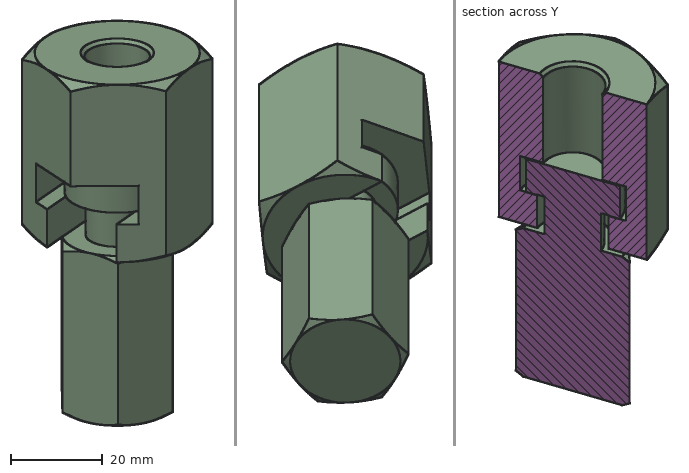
import cadquery as cq
import math

TOTAL_HEIGHT = 83.2
HALF_SIDE_ANGLE = math.radians(30)
BEVEL_ANGLE = math.radians(30)
CONE_OVERRUN = 0.8

SOCKET_ACROSS_CORNERS = 41.6
SOCKET_HEIGHT = 42.0
SOCKET_BOTTOM = TOTAL_HEIGHT - SOCKET_HEIGHT
BORE_DIAMETER = 14.3
BORE_CHAMFER = 0.8

HEAD_SLOT_WIDTH = 25.6
HEAD_SLOT_HEIGHT = 9.1
NECK_SLOT_WIDTH = 17.3
NECK_SLOT_HEIGHT = 9.0
HEAD_SLOT_BOTTOM = SOCKET_BOTTOM + NECK_SLOT_HEIGHT

STUD_ACROSS_FLATS = 24.05
STUD_ACROSS_CORNERS = STUD_ACROSS_FLATS / math.cos(HALF_SIDE_ANGLE)
STUD_HEX_HEIGHT = 40.2
NECK_DIAMETER = 13.8
HEAD_DIAMETER = 23.0
HEAD_TOP_CLEARANCE = 0.2
HEAD_HEIGHT = HEAD_SLOT_HEIGHT - HEAD_TOP_CLEARANCE


def beveled_hexagon(across_corners, height, bottom, turn):
    """Hexagonal bar, with both ends turned to a cone that leaves a circle touching the flats."""
    corner_radius = across_corners / 2
    flat_radius = corner_radius * math.cos(HALF_SIDE_ANGLE)
    bevel_drop = (corner_radius - flat_radius) * math.tan(BEVEL_ANGLE)
    top = bottom + height

    bar = (
        cq.Workplane("XY")
        .polygon(6, across_corners)
        .extrude(height)
        .rotate((0, 0, 0), (0, 0, 1), turn)
        .translate((0, 0, bottom))
    )

    outer_radius = corner_radius + CONE_OVERRUN
    outer_drop = bevel_drop + CONE_OVERRUN * math.tan(BEVEL_ANGLE)
    turned_envelope = (
        cq.Workplane("XZ")
        .moveTo(0, bottom)
        .lineTo(flat_radius, bottom)
        .lineTo(outer_radius, bottom + outer_drop)
        .lineTo(outer_radius, top - outer_drop)
        .lineTo(flat_radius, top)
        .lineTo(0, top)
        .close()
        .revolve(360, (0, 0, 0), (0, 1, 0))
    )
    return bar.intersect(turned_envelope)


def open_slot(width, height, bottom):
    """Slot volume reaching from a round end about the axis out through the -Y side."""
    length = SOCKET_ACROSS_CORNERS
    floor = cq.Workplane("XY").workplane(offset=bottom)
    round_end = floor.circle(width / 2).extrude(height)
    straight = floor.center(0, -length / 2).rect(width, length).extrude(height)
    return round_end.union(straight)


def cylinder(diameter, bottom, top):
    return cq.Workplane("XY").workplane(offset=bottom).circle(diameter / 2).extrude(top - bottom)


def make_socket():
    body = beveled_hexagon(SOCKET_ACROSS_CORNERS, SOCKET_HEIGHT, SOCKET_BOTTOM, math.degrees(HALF_SIDE_ANGLE))

    bore = cylinder(BORE_DIAMETER, HEAD_SLOT_BOTTOM, TOTAL_HEIGHT)
    body = body.cut(bore)
    mouth_edge = cq.selectors.RadiusNthSelector(0)
    body = body.faces(">Z").edges("%CIRCLE").edges(mouth_edge).chamfer(BORE_CHAMFER)

    body = body.cut(open_slot(HEAD_SLOT_WIDTH, HEAD_SLOT_HEIGHT, HEAD_SLOT_BOTTOM))
    return body.cut(open_slot(NECK_SLOT_WIDTH, NECK_SLOT_HEIGHT, SOCKET_BOTTOM))


def make_stud():
    hexagon = beveled_hexagon(STUD_ACROSS_CORNERS, STUD_HEX_HEIGHT, 0, 0)
    neck = cylinder(NECK_DIAMETER, STUD_HEX_HEIGHT, HEAD_SLOT_BOTTOM)
    head = cylinder(HEAD_DIAMETER, HEAD_SLOT_BOTTOM, HEAD_SLOT_BOTTOM + HEAD_HEIGHT)
    return hexagon.union(neck).union(head)


socket = make_socket()
stud = make_stud()
result = cq.Compound.makeCompound([socket.val(), stud.val()])